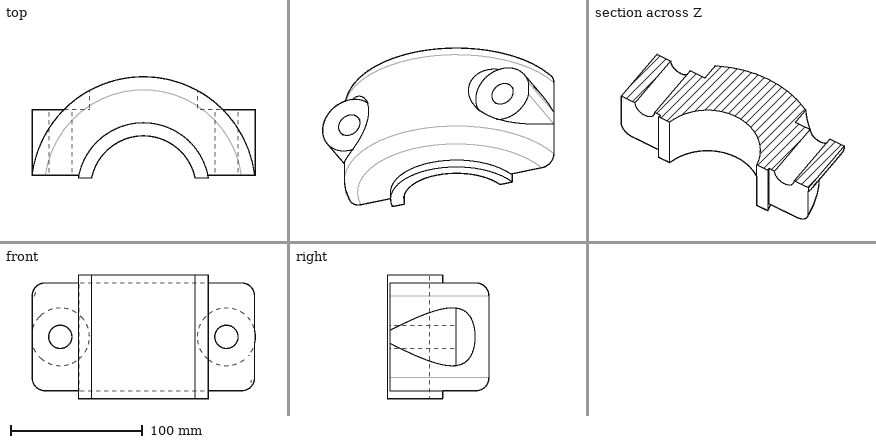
import cadquery as cq
import math


body_radius = 85.0
body_height = 82.0
rim_fillet = 10.0
joint_face_y = 10.0

bore_radius = 40.0
sleeve_wall = 10.0
sleeve_radius = bore_radius + sleeve_wall
sleeve_height = 94.0
sleeve_end_y = 8.0

boss_radius = 22.0
boss_offset_x = body_radius - boss_radius
boss_seat_y = 60.0
bolt_hole_diameter = 17.5

trim_x = -math.sqrt(body_radius**2 - joint_face_y**2)


def centred_cylinder(radius, height):
    """Cylinder about the Z axis, centred on the origin."""
    return cq.Workplane("XY").circle(radius).extrude(height / 2, both=True)


def keep_above(solid, y_min):
    """Remove everything of the solid below the plane Y = y_min."""
    size = 4 * body_radius
    cutter = cq.Workplane("XY").box(size, size, size).translate((0, y_min - size / 2, 0))
    return solid.cut(cutter)


def cylinder_along_y(x, radius, y_start, y_end):
    """Cylinder parallel to Y at the given X, in the mid plane Z = 0."""
    start = cq.Vector(x, y_start, 0)
    return cq.Workplane(cq.Solid.makeCylinder(radius, y_end - y_start, start, cq.Vector(0, 1, 0)))


def make_body():
    disc = centred_cylinder(body_radius, body_height).edges().fillet(rim_fillet)
    return keep_above(disc, joint_face_y)


def make_sleeve():
    return keep_above(centred_cylinder(sleeve_radius, sleeve_height), sleeve_end_y)


def make_boss(x):
    boss = cylinder_along_y(x, boss_radius, joint_face_y, boss_seat_y)
    if x < 0:
        trim = cq.Workplane("XY").box(2 * boss_radius, 2 * body_radius, body_height)
        boss = boss.cut(trim.translate((trim_x - boss_radius, 0, 0)))
    return boss


part = make_body()
for boss_x in (-boss_offset_x, boss_offset_x):
    seat = cylinder_along_y(boss_x, boss_radius, boss_seat_y, body_radius)
    bolt_hole = cylinder_along_y(boss_x, bolt_hole_diameter / 2, 0, body_radius)
    part = part.union(make_boss(boss_x)).cut(seat).cut(bolt_hole)

part = part.union(make_sleeve())
result = part.cut(centred_cylinder(bore_radius, sleeve_height))